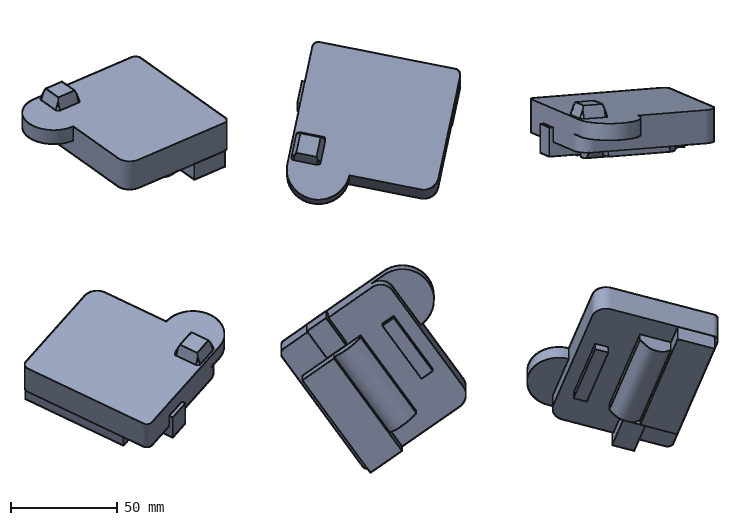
import cadquery as cq


body_width = 71.0
body_depth = 61.0
body_height = 16.0
front_corner_radius = 7.0
back_corner_radius = 3.0
tongue_radius = 14.9
tongue_thickness = body_height / 2

button_center = (8.3, 8.95)
button_size = 14.0
button_height = 6.0
button_corner_radius = 1.5
button_taper = 20

tab_overhang = 1.9
tab_right = 14.25
tab_front = 32.15
tab_depth = 11.0
tab_half_height = 7.0

underside_drop = 9.0
rail_left = 15.8
rail_right = 60.9
rail_front = 24.8
rail_half_depth = 8.4
rail_wall_drop = 4.0
rail_edge_radius = 6.45
block_right = 70.8
block_front = 40.2
block_depth = 18.3

foot_left = 17.15
foot_width = 31.6
foot_front = 6.7
foot_depth = 6.5
foot_drop = rail_wall_drop


def box(x, y, z, width, depth, height):
    """Box placed by its lowest corner."""
    return cq.Workplane("XY").box(width, depth, height, centered=False).translate((x, y, z))


def make_body():
    body = box(0, 0, 0, body_width, body_depth, body_height)
    body = body.edges("|Z and <Y").fillet(front_corner_radius)
    return body.edges("|Z and >Y").fillet(back_corner_radius)


def make_tongue():
    """Half disc in front of the body, its straight sides running back over the rounded corner."""
    return (
        cq.Workplane("XY", origin=(0, 0, body_height - tongue_thickness))
        .moveTo(0, tongue_radius)
        .lineTo(0, 0)
        .threePointArc((tongue_radius, -tongue_radius), (2 * tongue_radius, 0))
        .lineTo(2 * tongue_radius, tongue_radius)
        .close()
        .extrude(tongue_thickness)
    )


def make_button():
    profile = cq.Sketch().rect(button_size, button_size).vertices().fillet(button_corner_radius)
    return (
        cq.Workplane("XY", origin=(*button_center, body_height))
        .placeSketch(profile)
        .extrude(button_height, taper=button_taper)
    )


def make_rail():
    """Bar along X with 45 degree lower slopes rounded into a narrow flat."""
    middle = rail_front + rail_half_depth
    back = middle + rail_half_depth
    flat_half = rail_half_depth - (underside_drop - rail_wall_drop)
    return (
        cq.Workplane("YZ", origin=(rail_left, 0, 0))
        .moveTo(rail_front, 0)
        .lineTo(rail_front, -rail_wall_drop)
        .lineTo(middle - flat_half, -underside_drop)
        .lineTo(middle + flat_half, -underside_drop)
        .lineTo(back, -rail_wall_drop)
        .lineTo(back, 0)
        .close()
        .extrude(rail_right - rail_left)
        .faces("<Z")
        .edges("|X")
        .fillet(rail_edge_radius)
    )


tab = box(
    -tab_overhang, tab_front, -tab_half_height,
    tab_overhang + tab_right, tab_depth, 2 * tab_half_height,
)
block = box(
    rail_left, block_front, -underside_drop,
    block_right - rail_left, block_depth, underside_drop,
)
foot = box(foot_left, foot_front, -foot_drop, foot_width, foot_depth, foot_drop)

result = make_body()
for feature in (make_tongue(), make_button(), tab, make_rail(), block, foot):
    result = result.union(feature)